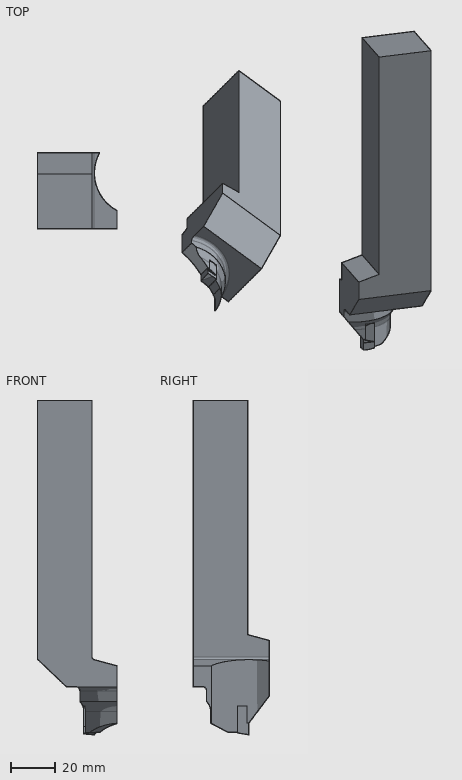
import cadquery as cq
import math

width = 36.2
depth = 34.5
height = 151.4

shank_size = 24.8
foot_bottom = 21.8
shoulder_angle = 15.0
shoulder_tan = math.tan(math.radians(shoulder_angle))
side_shoulder_z = 34.4
rear_shoulder_z = 45.4
bevel_width = 13.2
bevel_height = 12.5
root_fillet = 1.2

scoop_radius = 19.2
scoop_x = 45.1
axis_y = 25.3

collar_radius = 19.4
barrel_radius = 17.5
axis_x = 38.6
flare_radius = 1.8
collar_bottom = 15.1
barrel_top = 10.7

rear_flank_top = 17.7
rear_flank_bottom = 5.5
head_bottom = 1.2
keel_y = 15.7
front_relief_y = axis_y - barrel_radius
front_relief_z = 5.5

insert_face_x = 20.9
insert_y = 20.1
insert_tip_y = axis_y
insert_stem_y = 24.4
insert_top = 13.0
insert_tip_top = rear_flank_bottom
edge_drop_x = 0.5
edge_drop_y = 0.9
groove_bottom = 4.0
groove_depth = 0.5


def extrude_along_y(points):
    """Prism through the full depth from an X-Z outline."""
    return cq.Workplane("XZ").polyline(points).close().extrude(-depth)


def extrude_along_x(points):
    """Prism through the full width from a Y-Z outline."""
    return cq.Workplane("YZ").polyline(points).close().extrude(width)


def make_scoop():
    return cq.Workplane("XY").center(scoop_x, axis_y).circle(scoop_radius).extrude(height)


def make_shank():
    side_outline = extrude_along_y([
        (0, height),
        (shank_size, height),
        (shank_size, side_shoulder_z),
        (width, side_shoulder_z - (width - shank_size) * shoulder_tan),
        (width, foot_bottom),
        (bevel_width, foot_bottom),
        (0, foot_bottom + bevel_height),
    ])
    root = cq.selectors.NearestToPointSelector((shank_size, depth / 2, side_shoulder_z))
    side_outline = side_outline.edges("|Y").edges(root).fillet(root_fillet)
    rear_outline = extrude_along_x([
        (0, height),
        (shank_size, height),
        (shank_size, rear_shoulder_z),
        (depth, rear_shoulder_z - (depth - shank_size) * shoulder_tan),
        (depth, foot_bottom),
        (0, foot_bottom),
    ])
    return side_outline.intersect(rear_outline)


def make_head():
    neck_step = collar_radius - barrel_radius
    neck_height = collar_bottom - barrel_top
    neck_radius = (neck_step**2 + neck_height**2) / (2 * neck_step)
    neck_half_angle = math.asin(neck_height / neck_radius) / 2
    neck_middle = (
        barrel_radius + neck_radius * (1 - math.cos(neck_half_angle)),
        barrel_top + neck_radius * math.sin(neck_half_angle),
    )
    flare_offset = flare_radius * (1 - math.sqrt(0.5))
    flare_middle = (collar_radius + flare_offset, foot_bottom - flare_offset)
    turned = (
        cq.Workplane("XZ")
        .moveTo(0, 0)
        .lineTo(barrel_radius, 0)
        .lineTo(barrel_radius, barrel_top)
        .threePointArc(neck_middle, (collar_radius, collar_bottom))
        .lineTo(collar_radius, foot_bottom - flare_radius)
        .threePointArc(flare_middle, (collar_radius + flare_radius, foot_bottom))
        .lineTo(0, foot_bottom)
        .close()
        .revolve(360, (0, 0, 0), (0, 1, 0))
        .translate((axis_x, axis_y, 0))
    )
    flanks = extrude_along_x([
        (0, foot_bottom),
        (depth, foot_bottom),
        (depth, rear_flank_top),
        (axis_y, rear_flank_bottom),
        (axis_y, head_bottom),
        (keel_y, head_bottom),
        (front_relief_y, front_relief_z),
        (0, front_relief_z),
    ])
    return turned.intersect(flanks)


def make_insert_blank():
    """Insert without its chip groove; also the shape of its pocket."""
    outline = extrude_along_x([
        (insert_y, insert_top),
        (insert_stem_y, insert_top),
        (insert_stem_y, insert_tip_top),
        (insert_tip_y, insert_tip_top),
        (insert_tip_y, 0),
        (insert_y, edge_drop_y),
    ])
    scoop_edge_x = scoop_x - scoop_radius
    thickness = extrude_along_y([
        (insert_face_x, insert_top),
        (width, insert_top),
        (width, 0),
        (scoop_edge_x, 0),
        (insert_face_x, edge_drop_x),
    ])
    return outline.intersect(thickness).cut(make_scoop())


def make_chip_groove():
    """Shallow notch with a level floor, tapering out toward the -Y side of the insert."""
    notch = (
        cq.Workplane("YZ")
        .polyline([
            (insert_tip_y, insert_tip_top),
            (insert_tip_y, groove_bottom),
            (insert_y, groove_bottom),
        ])
        .close()
        .extrude(groove_depth)
    )
    return notch.translate((insert_face_x, 0, 0))


insert_blank = make_insert_blank()
holder = make_shank().union(make_head()).cut(make_scoop()).cut(insert_blank)
insert = insert_blank.cut(make_chip_groove())

result = cq.Compound.makeCompound([holder.val(), insert.val()])